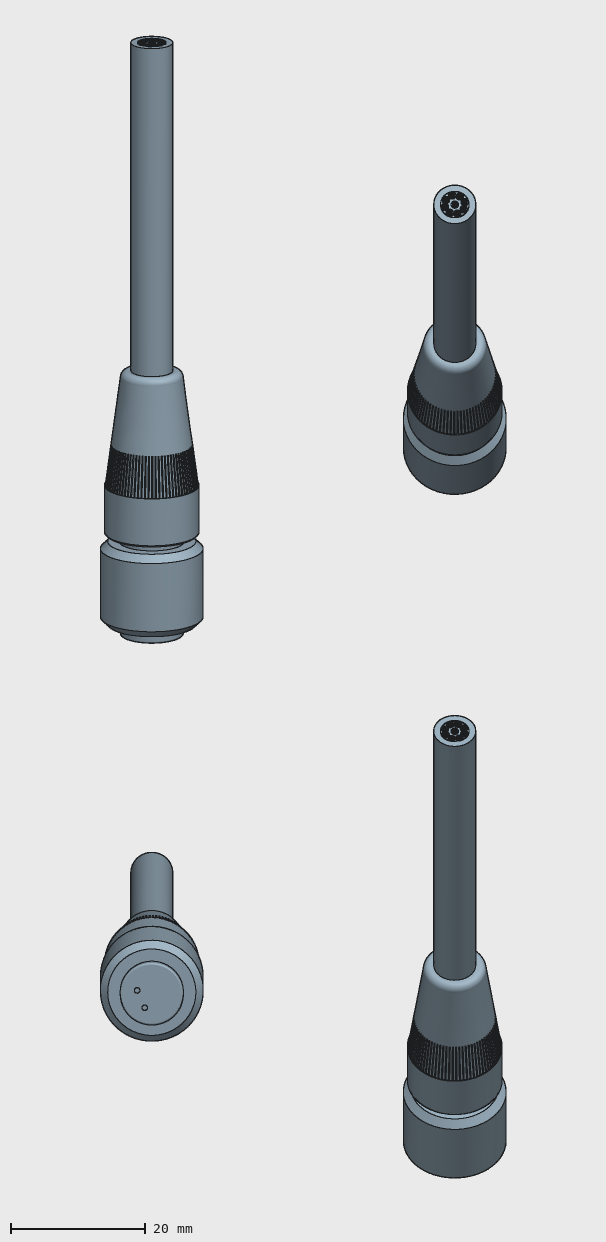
import cadquery as cq
import math

total_height = 92.0
insert_bottom = 0.2
nut_bottom = 1.8
nut_top = 14.6
body_bottom = 15.8
knurl_bottom = 23.4
knurl_top = 29.6
shoulder_z = 40.0
boot_fillet = 1.1
boot_top = shoulder_z + boot_fillet

insert_diameter = 9.4
nut_diameter = 15.3
neck_diameter = 9.7
body_diameter = 14.1
boot_base_diameter = 13.8
shoulder_diameter = 9.4
cable_diameter = 6.3

insert_fillet = 0.3
nut_chamfer = 1.1
body_chamfer = 0.3

groove_count = 80
groove_depth = 0.2
groove_width = 0.2

contact_diameter = 0.8
contact_spacing = 2.85
contact_y = 1.75

jacket_bore = 4.2
recess_depth = 0.2
wire_diameter = 1.1
outer_wire_count = 8
outer_wire_radius = 1.52
core_diameter = 0.7
strand_diameter = 0.2
strand_ring_radius = 0.24
strand_ring_count = 6


def cylinder(diameter, z_low, z_high):
    return cq.Workplane("XY").workplane(offset=z_low).circle(diameter / 2).extrude(z_high - z_low)


def ring_points(count, radius):
    angles = [2 * math.pi * i / count for i in range(count)]
    return [(radius * math.cos(a), radius * math.sin(a)) for a in angles]


def make_insert():
    return cylinder(insert_diameter, insert_bottom, nut_bottom).faces("<Z").edges().fillet(insert_fillet)


def make_nut():
    return cylinder(nut_diameter, nut_bottom, nut_top).faces("<Z or >Z").edges().chamfer(nut_chamfer)


def make_body():
    return cylinder(body_diameter, body_bottom, knurl_bottom).faces("<Z").edges().chamfer(body_chamfer)


def make_boot():
    shoulder_radius = shoulder_diameter / 2
    fillet_centre_radius = shoulder_radius - boot_fillet
    diagonal = boot_fillet * math.sqrt(0.5)
    profile = (
        cq.Workplane("XZ")
        .moveTo(0, knurl_bottom)
        .lineTo(boot_base_diameter / 2, knurl_bottom)
        .lineTo(shoulder_radius, shoulder_z)
        .threePointArc(
            (fillet_centre_radius + diagonal, shoulder_z + diagonal),
            (fillet_centre_radius, boot_top),
        )
        .lineTo(0, boot_top)
        .close()
    )
    return profile.revolve(360, (0, 0), (0, 1))


def boot_radius(z):
    slope = (shoulder_diameter - boot_base_diameter) / 2 / (shoulder_z - knurl_bottom)
    return boot_base_diameter / 2 + slope * (z - knurl_bottom)


def groove_section(z):
    surface = boot_radius(z)
    corners = [
        cq.Vector(surface - groove_depth, 0, z),
        cq.Vector(surface + groove_depth, groove_width, z),
        cq.Vector(surface + groove_depth, -groove_width, z),
    ]
    return cq.Wire.makePolygon(corners, close=True)


def make_knurl_grooves():
    sections = [groove_section(knurl_bottom), groove_section(knurl_top)]
    groove = cq.Solid.makeLoft(sections, True)
    axis = cq.Vector(0, 0, 1)
    pitch = 360 / groove_count
    grooves = [groove.rotate(cq.Vector(), axis, pitch * (i + 0.5)) for i in range(groove_count)]
    return cq.Workplane(cq.Compound.makeCompound(grooves))


def make_contacts():
    places = [(-contact_spacing / 2, contact_y), (contact_spacing / 2, contact_y)]
    return cq.Workplane("XY").pushPoints(places).circle(contact_diameter / 2).extrude(insert_bottom)


def raised_rounds(places, diameter):
    floor = cq.Workplane("XY").workplane(offset=total_height - recess_depth)
    return floor.pushPoints(places).circle(diameter / 2).extrude(recess_depth)


def detail_cable_end(cable):
    floor = total_height - recess_depth
    wire_places = [(0, 0)] + ring_points(outer_wire_count, outer_wire_radius)
    strand_offsets = [(0, 0)] + ring_points(strand_ring_count, strand_ring_radius)
    strand_places = [(x + dx, y + dy) for x, y in wire_places for dx, dy in strand_offsets]
    return (
        cable.cut(cylinder(jacket_bore, floor, total_height))
        .union(raised_rounds(wire_places, wire_diameter))
        .cut(raised_rounds(wire_places, core_diameter))
        .union(raised_rounds(strand_places, strand_diameter))
    )


cable = detail_cable_end(cylinder(cable_diameter, boot_top, total_height))
result = (
    make_insert()
    .union(make_contacts())
    .union(make_nut())
    .union(cylinder(neck_diameter, nut_top, body_bottom))
    .union(make_body())
    .union(make_boot().cut(make_knurl_grooves()))
    .union(cable)
)